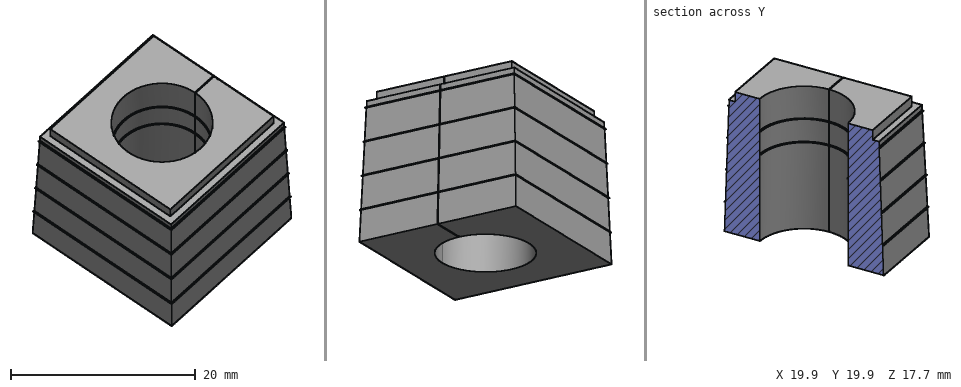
import cadquery as cq
import math

base_side = 19.9
draft_angle = 2.0
body_height = 15.83

collar_side = 18.76
collar_top = 16.5
ledge_width = 0.8
plate_side = collar_side - 2 * ledge_width
total_height = 17.7

ridge_count = 4
ridge_pitch = 4.0
ridge_reach = 0.1
ridge_height = 0.12
top_ridge_level = body_height - ridge_height

bore_diameter = 11.0
rib_reach = 0.1
rib_height = 0.1
rib_levels = [10.8, 13.7]
slit_width = 0.1

draft_slope = math.tan(math.radians(draft_angle))


def body_side(level):
    """Side length of the tapered body at a height above the base."""
    return base_side - 2 * draft_slope * level


def square_frustum(bottom_level, bottom_side, top_level, top_side):
    """Solid between two centred squares at different heights."""
    return (
        cq.Workplane("XY")
        .workplane(offset=bottom_level)
        .rect(bottom_side, bottom_side)
        .workplane(offset=top_level - bottom_level)
        .rect(top_side, top_side)
        .loft(ruled=True)
    )


def square_block(bottom_level, top_level, side):
    """Straight square block between two heights."""
    height = top_level - bottom_level
    return cq.Workplane("XY").workplane(offset=bottom_level).rect(side, side).extrude(height)


def outer_ridge(level):
    """Ridge with a flat underside that slopes back to the body at its top."""
    top_level = level + ridge_height
    widest_side = body_side(level) + 2 * ridge_reach
    return square_frustum(level, widest_side, top_level, body_side(top_level))


def bore_rib(level):
    """Thin ring standing in from the bore wall."""
    inner_radius = bore_diameter / 2 - rib_reach
    outer_radius = bore_diameter / 2 + rib_reach
    return (
        cq.Workplane("XY")
        .workplane(offset=level - rib_height / 2)
        .circle(outer_radius)
        .circle(inner_radius)
        .extrude(rib_height)
    )


def slit():
    """Narrow full-height cut from the bore axis out through the +Y side."""
    return (
        cq.Workplane("XY")
        .center(0, base_side / 2)
        .rect(slit_width, base_side)
        .extrude(total_height)
    )


result = square_frustum(0, base_side, body_height, body_side(body_height))
result = result.union(square_block(body_height, collar_top, collar_side))
result = result.union(square_block(collar_top, total_height, plate_side))
for index in range(ridge_count):
    result = result.union(outer_ridge(top_ridge_level - index * ridge_pitch))

result = result.cut(cq.Workplane("XY").circle(bore_diameter / 2).extrude(total_height))
for rib_level in rib_levels:
    result = result.union(bore_rib(rib_level))

result = result.cut(slit())